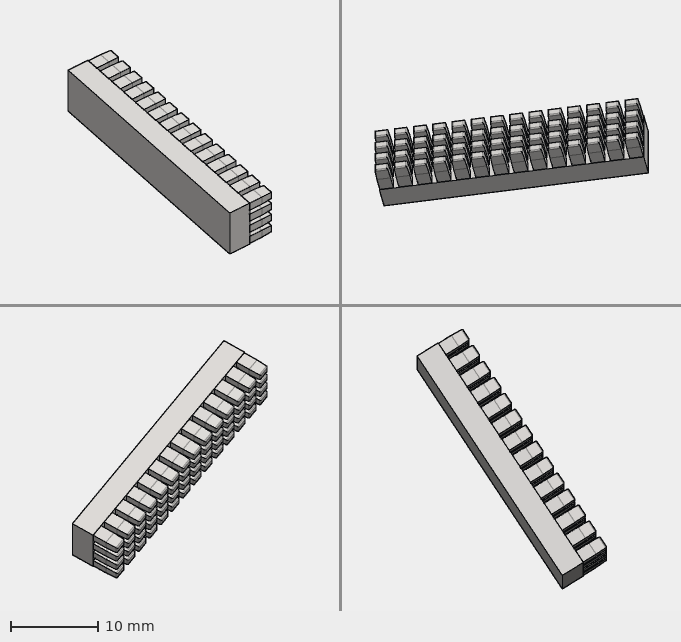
import cadquery as cq

bar_length = 30.9
bar_depth = 2.87
bar_height = 6.3

columns = 14
rows = 4
prong_width = 1.6
prong_height = 1.08
end_margin = 0.045
side_margin = 0.05
column_pitch = (bar_length - prong_width - 2 * end_margin) / (columns - 1)
row_pitch = (bar_height - prong_height - 2 * side_margin) / (rows - 1)

total_depth = 6.15
root_length = 1.75
draft_length = total_depth - bar_depth - root_length
draft_inset = 0.05
tip_radius = 0.15


def frustum(start_y, length, width, height, inset):
    """Rectangular block along +Y whose far end is smaller by inset on every side."""
    return (
        cq.Workplane("XZ", origin=(0, start_y, 0))
        .rect(width, height)
        .workplane(offset=-length)
        .rect(width - 2 * inset, height - 2 * inset)
        .loft(ruled=True)
    )


def make_prong():
    """One prong centred on the Y axis, standing on the back face of the bar."""
    root = cq.Workplane("XY").box(prong_width, root_length, prong_height, centered=(True, False, True))
    root = root.translate((0, bar_depth, 0))
    draft_start = bar_depth + root_length
    drafted = frustum(draft_start, draft_length, prong_width, prong_height, draft_inset)
    drafted = drafted.faces(">Y").edges().fillet(tip_radius)
    return root.union(drafted, clean=False)


bar = cq.Workplane("XY").box(bar_length, bar_depth, bar_height, centered=(True, False, True))

prong = make_prong().val()
prongs = []
for column in range(columns):
    for row in range(rows):
        x = (column - (columns - 1) / 2) * column_pitch
        z = (row - (rows - 1) / 2) * row_pitch
        prongs.append(prong.translate(cq.Vector(x, 0, z)))

result = cq.Workplane(obj=bar.val().fuse(*prongs))